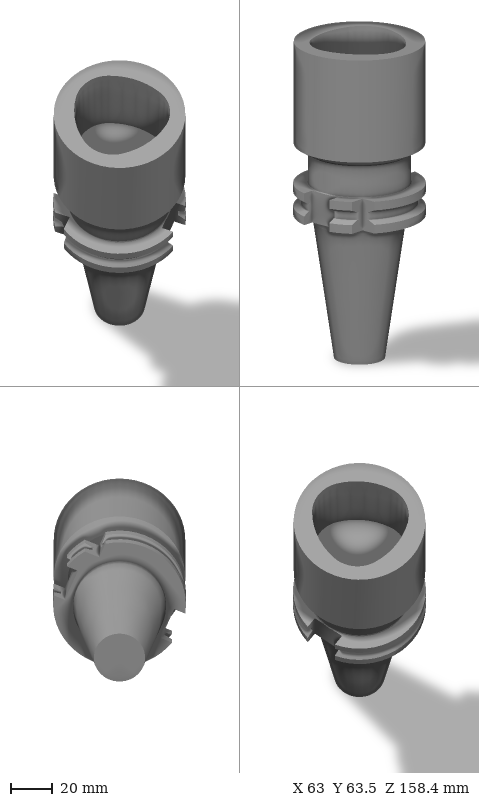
import math

import cadquery as cq

GAUGE_DIAMETER = 44.45
SHANK_LENGTH = 68.4
TAPER_RATIO = 7 / 24
SHANK_TIP_RADIUS = (GAUGE_DIAMETER - SHANK_LENGTH * TAPER_RATIO) / 2

FLANGE_DIAMETER = 63.55
FLANGE_BOTTOM = 3.2
FLANGE_TOP = 19.1
GROOVE_CENTER = (FLANGE_BOTTOM + FLANGE_TOP) / 2
GROOVE_ROOT_DIAMETER = 56.25
GROOVE_ROOT_WIDTH = 3.85
GROOVE_LEDGE_DIAMETER = 57.7
GROOVE_WALL_ANGLE = 30

SLOT_WIDTH = 16.1
SLOT_FLOOR_DISTANCE = 25.0
NOTCH_CORNER = 18.4

NECK_DIAMETER = 49.5
HEAD_DIAMETER = 63.0
HEAD_TOP = 90.0
NECK_FOOT_FILLET = 0.4
NECK_TOP = 35.0
SHOULDER_ANGLE = 30

SOCKET_LOBE_REACH = 24.3
SOCKET_FLANK_REACH = 21.55
SOCKET_LOBE_RADIUS = 16.0
SOCKET_LOBE_COUNT = 3
SOCKET_FIRST_LOBE_ANGLE = 30
SOCKET_DEPTH = 38.0
SOCKET_WALL_SLOPE = 1 / 40


def make_body():
    """Revolve shank, grooved flange, neck and head about the Z axis."""
    gauge_radius = GAUGE_DIAMETER / 2
    flange_radius = FLANGE_DIAMETER / 2
    root_radius = GROOVE_ROOT_DIAMETER / 2
    ledge_radius = GROOVE_LEDGE_DIAMETER / 2
    neck_radius = NECK_DIAMETER / 2
    head_radius = HEAD_DIAMETER / 2

    half_root = GROOVE_ROOT_WIDTH / 2
    groove_flare = (flange_radius - ledge_radius) * math.tan(math.radians(GROOVE_WALL_ANGLE))
    half_mouth = half_root + groove_flare
    shoulder_height = (head_radius - neck_radius) * math.tan(math.radians(SHOULDER_ANGLE))

    profile = (
        cq.Workplane("XZ")
        .moveTo(0, -SHANK_LENGTH)
        .lineTo(SHANK_TIP_RADIUS, -SHANK_LENGTH)
        .lineTo(gauge_radius, 0)
        .lineTo(gauge_radius, FLANGE_BOTTOM)
        .lineTo(flange_radius, FLANGE_BOTTOM)
        .lineTo(flange_radius, GROOVE_CENTER - half_mouth)
        .lineTo(ledge_radius, GROOVE_CENTER - half_root)
        .lineTo(root_radius, GROOVE_CENTER - half_root)
        .lineTo(root_radius, GROOVE_CENTER + half_root)
        .lineTo(ledge_radius, GROOVE_CENTER + half_root)
        .lineTo(flange_radius, GROOVE_CENTER + half_mouth)
        .lineTo(flange_radius, FLANGE_TOP)
        .lineTo(neck_radius + NECK_FOOT_FILLET, FLANGE_TOP)
        .radiusArc((neck_radius, FLANGE_TOP + NECK_FOOT_FILLET), NECK_FOOT_FILLET)
        .lineTo(neck_radius, NECK_TOP)
        .lineTo(head_radius, NECK_TOP + shoulder_height)
        .lineTo(head_radius, HEAD_TOP)
        .lineTo(0, HEAD_TOP)
        .close()
    )
    return profile.revolve(360, (0, 0), (0, 1))


def flange_cutter(x_min, x_max, y_min, y_max):
    """Box over the full height of the flange."""
    return (
        cq.Workplane("XY")
        .workplane(offset=FLANGE_BOTTOM)
        .moveTo((x_min + x_max) / 2, (y_min + y_max) / 2)
        .rect(x_max - x_min, y_max - y_min)
        .extrude(FLANGE_TOP - FLANGE_BOTTOM)
    )


def make_drive_slots():
    """Two opposite flat-floored slots on the X axis."""
    half_width = SLOT_WIDTH / 2
    slot = flange_cutter(SLOT_FLOOR_DISTANCE, FLANGE_DIAMETER, -half_width, half_width)
    return slot.union(slot.rotate((0, 0, 0), (0, 0, 1), 180))


def make_notch():
    """Right-angled notch in the -X, -Y corner of the flange."""
    return flange_cutter(-FLANGE_DIAMETER, -NOTCH_CORNER, -FLANGE_DIAMETER, -NOTCH_CORNER)


def polar_point(center, radius, angle):
    """Point at a distance and direction (radians) from a centre."""
    return (center[0] + radius * math.cos(angle), center[1] + radius * math.sin(angle))


def draw_socket_outline(plane, inset):
    """Alternating lobe and flank arcs, all tangent, offset inward by an inset.

    Each lobe lies opposite a flank; the last lobe points toward -Y.
    """
    axis = (0, 0)
    lobe_center_distance = SOCKET_LOBE_REACH - SOCKET_LOBE_RADIUS
    reach_gap = SOCKET_FLANK_REACH - SOCKET_LOBE_RADIUS
    flank_center_distance = (lobe_center_distance**2 - reach_gap**2) / (
        2 * reach_gap - lobe_center_distance
    )
    flank_radius = flank_center_distance + SOCKET_FLANK_REACH - inset
    lobe_radius = SOCKET_LOBE_RADIUS - inset

    first_lobe = math.radians(SOCKET_FIRST_LOBE_ANGLE)
    half_pitch = math.pi / SOCKET_LOBE_COUNT
    half_lobe = math.atan2(
        flank_center_distance * math.sin(half_pitch),
        lobe_center_distance + flank_center_distance * math.cos(half_pitch),
    )

    start = polar_point(
        polar_point(axis, lobe_center_distance, first_lobe), lobe_radius, first_lobe - half_lobe
    )
    outline = plane.moveTo(*start)
    for index in range(SOCKET_LOBE_COUNT):
        lobe_angle = first_lobe + 2 * half_pitch * index
        flank_angle = lobe_angle + half_pitch
        next_lobe_angle = flank_angle + half_pitch
        lobe_center = polar_point(axis, lobe_center_distance, lobe_angle)
        next_lobe_center = polar_point(axis, lobe_center_distance, next_lobe_angle)
        flank_center = polar_point(axis, -flank_center_distance, flank_angle)
        outline = outline.threePointArc(
            polar_point(lobe_center, lobe_radius, lobe_angle),
            polar_point(lobe_center, lobe_radius, lobe_angle + half_lobe),
        ).threePointArc(
            polar_point(flank_center, flank_radius, flank_angle),
            polar_point(next_lobe_center, lobe_radius, next_lobe_angle - half_lobe),
        )
    return outline.close()


def make_socket():
    """Tapered socket that narrows from the mouth to a flat floor."""
    floor_plane = cq.Workplane("XY").workplane(offset=HEAD_TOP - SOCKET_DEPTH)
    floor_outline = draw_socket_outline(floor_plane, SOCKET_DEPTH * SOCKET_WALL_SLOPE)
    mouth_plane = floor_outline.workplane(offset=SOCKET_DEPTH)
    return draw_socket_outline(mouth_plane, 0).loft(ruled=True)


result = make_body().cut(make_drive_slots()).cut(make_notch()).cut(make_socket())